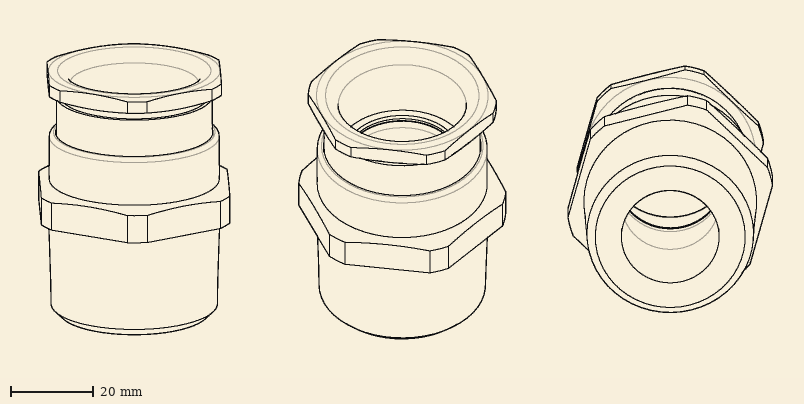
import cadquery as cq
import math

TOTAL_HEIGHT = 61.75
LEAD_CHAMFER_HEIGHT = 2.05
HEX_BOTTOM = 25.9
HEX_TOP = 34.0
COLLAR_TOP = 46.0
NUT_BOTTOM = 43.15
SOCKET_FLOOR = 43.0
TAPER_TOP = 40.95
TAPER_BOTTOM = 24.7
NECK_BOTTOM = 55.25
NUT_HEX_BOTTOM = 57.75

HEX_BEVEL = math.tan(math.radians(15))

LIP_RADIUS = 13.0

HEX_FLATS = 46.0
HEX_CORNER_RADIUS = 50.6 / 2
COLLAR_RADIUS = 20.75
COLLAR_ROUND = 1.05
THREAD_TOP_RADIUS = 21.05
THREAD_TAPER = 1 / 32
OUTLET_RADIUS = 11.9

NUT_HEX_FLATS = 42.0
NUT_HEX_CORNER_RADIUS = 23.0
NUT_FACE_RADIUS = 20.95
NECK_RADIUS = 18.05
SHANK_RADIUS = 19.0
SHANK_CLEARANCE = 0.2
NUT_BORE_RADIUS = 15.6
MOUTH_ROUND = 3.1
LIP_TOP = 44.35
LIP_CHAMFER = 0.55


def revolve_about_z(profile):
    """Revolve a closed (radius, height) outline about the Z axis."""
    return profile.close().revolve(360, (0, 0, 0), (0, 1, 0))


def hexagon(flats, corner_radius, face_radius, bottom, top, bevel_bottom):
    """Hexagon with flats facing +X and -X, turned corners and 15 degree bevelled faces."""
    prism = (
        cq.Workplane("XY", origin=(0, 0, bottom))
        .polygon(6, flats, circumscribed=True)
        .extrude(top - bottom)
    )
    bevel_drop = (corner_radius - face_radius) * HEX_BEVEL
    turned = cq.Workplane("XZ").moveTo(0, bottom)
    if bevel_bottom:
        turned = turned.lineTo(face_radius, bottom).lineTo(corner_radius, bottom + bevel_drop)
    else:
        turned = turned.lineTo(corner_radius, bottom)
    turned = turned.lineTo(corner_radius, top - bevel_drop).lineTo(face_radius, top).lineTo(0, top)
    return prism.intersect(revolve_about_z(turned))


def make_housing():
    """Hexagon body with a tapered thread below, a round collar above and a narrowing bore."""
    thread_end_radius = THREAD_TOP_RADIUS - THREAD_TAPER * (HEX_BOTTOM - LEAD_CHAMFER_HEIGHT)
    thread = revolve_about_z(
        cq.Workplane("XZ")
        .lineTo(thread_end_radius - LEAD_CHAMFER_HEIGHT, 0)
        .lineTo(thread_end_radius, LEAD_CHAMFER_HEIGHT)
        .lineTo(THREAD_TOP_RADIUS, HEX_BOTTOM)
        .lineTo(0, HEX_BOTTOM)
    )
    body_hexagon = hexagon(
        HEX_FLATS, HEX_CORNER_RADIUS, COLLAR_RADIUS, HEX_BOTTOM, HEX_TOP, bevel_bottom=False
    )
    collar = (
        cq.Workplane("XY", origin=(0, 0, HEX_TOP))
        .circle(COLLAR_RADIUS)
        .extrude(COLLAR_TOP - HEX_TOP)
        .faces(">Z")
        .edges()
        .fillet(COLLAR_ROUND)
    )
    socket_radius = SHANK_RADIUS + SHANK_CLEARANCE
    bore = revolve_about_z(
        cq.Workplane("XZ")
        .lineTo(OUTLET_RADIUS, 0)
        .lineTo(OUTLET_RADIUS, TAPER_BOTTOM)
        .lineTo(LIP_RADIUS, TAPER_TOP)
        .lineTo(LIP_RADIUS, SOCKET_FLOOR)
        .lineTo(socket_radius, SOCKET_FLOOR)
        .lineTo(socket_radius, COLLAR_TOP)
        .lineTo(0, COLLAR_TOP)
    )
    return thread.union(body_hexagon).union(collar).cut(bore)


def make_gland_nut():
    """Thin hexagon on a necked shank, with a rounded mouth and an inner lip at its lower end."""
    shank = revolve_about_z(
        cq.Workplane("XZ")
        .moveTo(0, NUT_BOTTOM)
        .lineTo(SHANK_RADIUS, NUT_BOTTOM)
        .lineTo(SHANK_RADIUS, NECK_BOTTOM)
        .lineTo(NECK_RADIUS, NECK_BOTTOM)
        .lineTo(NECK_RADIUS, NUT_HEX_BOTTOM)
        .lineTo(0, NUT_HEX_BOTTOM)
    )
    nut_hexagon = hexagon(
        NUT_HEX_FLATS,
        NUT_HEX_CORNER_RADIUS,
        NUT_FACE_RADIUS,
        NUT_HEX_BOTTOM,
        TOTAL_HEIGHT,
        bevel_bottom=True,
    )
    bore = revolve_about_z(
        cq.Workplane("XZ")
        .moveTo(0, NUT_BOTTOM)
        .lineTo(LIP_RADIUS, NUT_BOTTOM)
        .lineTo(LIP_RADIUS, LIP_TOP - LIP_CHAMFER)
        .lineTo(LIP_RADIUS + LIP_CHAMFER, LIP_TOP)
        .lineTo(NUT_BORE_RADIUS, LIP_TOP)
        .lineTo(NUT_BORE_RADIUS, TOTAL_HEIGHT - MOUTH_ROUND)
        .radiusArc((NUT_BORE_RADIUS + MOUTH_ROUND, TOTAL_HEIGHT), MOUTH_ROUND)
        .lineTo(0, TOTAL_HEIGHT)
    )
    return shank.union(nut_hexagon).cut(bore)


housing = make_housing()
gland_nut = make_gland_nut()

result = cq.Compound.makeCompound([housing.val(), gland_nut.val()])